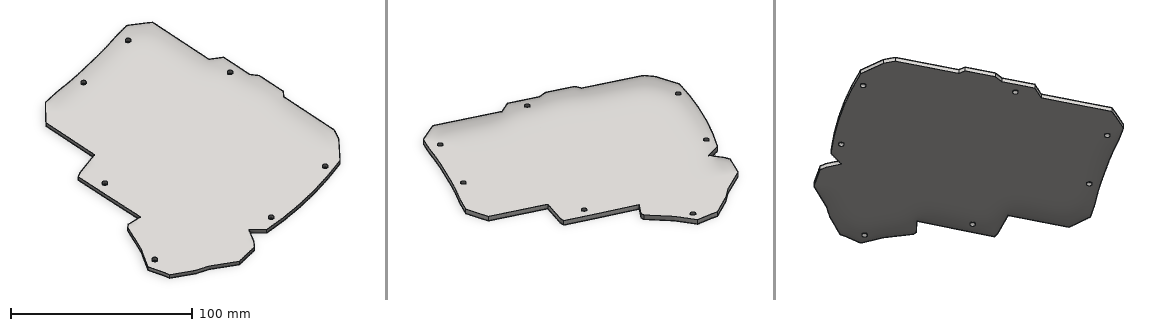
import cadquery as cq

length = 153.5
width = 142.3
thickness = 3.0
hole_diameter = 3.0

body_bottom = 41.5
body_top = 133.2
corner_run = 9.5
corner_rise = 10.7
corner_break_x = 6.9
corner_break_rise = 2.8

waist_middle = 87.8
waist_steps = [(1.2, 9.0), (0.9, 16.4), (0.2, 26.0)]

shoulder_top = 139.5
shoulder_start = 55.3
shoulder_end = 134.9

bow_inset = 2.6
bow_middle = 93.6
bow_half_height = 31.6

step_bottom = 23.8
step_top_x = 44.2

upper_left_edge = [(inset, waist_middle + offset) for inset, offset in waist_steps]
lower_left_edge = [(inset, waist_middle - offset) for inset, offset in reversed(waist_steps)]

left_and_top_edges = [
    (0, body_bottom + corner_rise),
    *lower_left_edge,
    *upper_left_edge,
    (0, body_top - corner_rise),
    (corner_break_x, body_top - corner_break_rise),
    (corner_run, body_top),
    (49.9, body_top),
    (shoulder_start, shoulder_top),
    (74.0, shoulder_top),
    (78.6, width),
    (95.8, width),
    (98.7, shoulder_top),
    (shoulder_end, shoulder_top),
    (140.7, 136.3),
    (length - bow_inset, bow_middle + bow_half_height),
]

thumb_and_bottom_edges = [
    (143.4, 55.7),
    (150.5, 51.3),
    (length, 48.5),
    (length, 35.3),
    (142.7, 22.0),
    (140.9, 18.4),
    (139.0, 15.0),
    (130.0, 3.4),
    (126.8, 2.8),
    (117.3, 0),
    (106.4, 7.2),
    (90.9, 14.1),
    (89.8, 16.0),
    (91.6, 24.2),
    (68.9, 24.0),
    (47.3, step_bottom),
    (46.2, 26.5),
    (step_top_x, body_bottom),
    (corner_run, body_bottom),
    (corner_break_x, body_bottom + corner_break_rise),
]

hole_centres = [
    (7.2, 114.8),
    (7.2, 76.5),
    (64.8, 133.7),
    (147.2, 116.8),
    (147.2, 70.3),
    (61.4, 30.0),
    (116.8, 6.5),
]


def make_plate():
    """Flat plate with a faceted outline and one bowed edge."""
    outline = cq.Workplane("XY").polyline(left_and_top_edges)
    outline = outline.threePointArc(
        (length, bow_middle),
        (length - bow_inset, bow_middle - bow_half_height),
    )
    for point in thumb_and_bottom_edges:
        outline = outline.lineTo(*point)
    return outline.close().extrude(thickness)


def make_hole_pins():
    """Cylinders that cut the screw holes through the plate."""
    return cq.Workplane("XY").pushPoints(hole_centres).circle(hole_diameter / 2).extrude(thickness)


result = make_plate().cut(make_hole_pins())